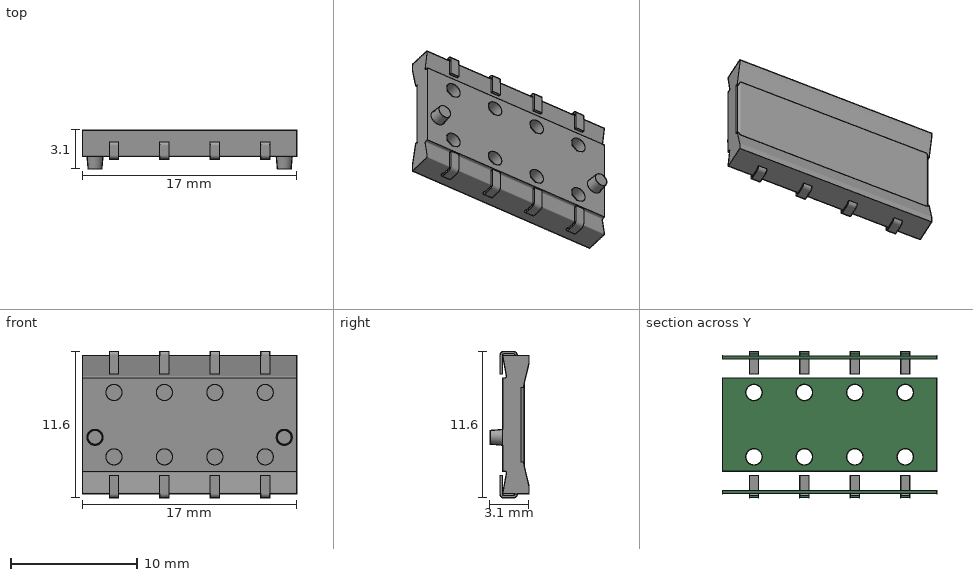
import cadquery as cq


OVERALL_DEPTH = 3.1
OVERALL_HEIGHT = 11.6

BODY_LENGTH = 16.99
BODY_DEPTH = 2.1
BODY_HALF_HEIGHT = 5.49
GROOVE_START = 3.7
GROOVE_DEPTH = 0.32
GROOVE_ROUND = 0.1
FRONT_EDGE_ROUND = 0.08
BACK_TAPER_START = 4.88
RECESS_HALF_HEIGHT = 2.95
RECESS_LIP_Y = 1.65
RECESS_FLOOR_Y = 1.48

PAD_BACK_Y = 1.73
PAD_HALF_HEIGHT = 3.28
PAD_END_INSET = 0.1
PAD_END_ROUND = 0.2

COLUMN_PITCH = 4.0
COLUMN_COUNT = 4
TERMINAL_WIDTH = 0.75
TERMINAL_THICKNESS = 0.2
TERMINAL_BEND_RADIUS = 0.3
TERMINAL_TOP = OVERALL_HEIGHT / 2
TERMINAL_BACK_Y = 1.17
TERMINAL_TIP = 4.01
TERMINAL_EMBED = 0.17
HOLE_DIAMETER = 1.27
HOLE_DEPTH = 1.0
HOLE_OFFSET = 2.55

PIN_LENGTH = OVERALL_DEPTH - BODY_DEPTH
PIN_BASE_DIAMETER = 1.27
PIN_TIP_DIAMETER = 1.1
PIN_OFFSET = 7.5
PIN_Z = -1.0

COLUMNS = [(i - (COLUMN_COUNT - 1) / 2) * COLUMN_PITCH for i in range(COLUMN_COUNT)]


def extrude_along_x(points, length):
    """Prism of a closed (y, z) outline, centred on X = 0."""
    return cq.Workplane("YZ").polyline(points).close().extrude(length / 2, both=True)


def make_body():
    upper_half = [
        (0, GROOVE_START),
        (GROOVE_DEPTH, GROOVE_START),
        (0, BODY_HALF_HEIGHT),
        (BODY_DEPTH, BODY_HALF_HEIGHT),
        (BODY_DEPTH, BACK_TAPER_START),
        (RECESS_LIP_Y, RECESS_HALF_HEIGHT),
        (RECESS_FLOOR_Y, RECESS_HALF_HEIGHT),
    ]
    lower_half = [(y, -z) for y, z in reversed(upper_half)]
    body = extrude_along_x(upper_half + lower_half, BODY_LENGTH)
    for side in (1, -1):
        groove_edge = cq.NearestToPointSelector((0, GROOVE_DEPTH, side * GROOVE_START))
        body = body.edges(groove_edge).fillet(GROOVE_ROUND)
        front_edge = cq.NearestToPointSelector((0, 0, side * BODY_HALF_HEIGHT))
        body = body.edges(front_edge).fillet(FRONT_EDGE_ROUND)
    return body


def make_back_pad():
    pad = cq.Workplane("XY").box(
        BODY_LENGTH - 2 * PAD_END_INSET,
        PAD_BACK_Y - GROOVE_DEPTH,
        2 * PAD_HALF_HEIGHT,
    )
    pad = pad.translate((0, (PAD_BACK_Y + GROOVE_DEPTH) / 2, 0))
    return pad.edges("|Z and >Y").fillet(PAD_END_ROUND)


def make_upper_terminal():
    """Bent strip: hooked into the top of the body, down over its front."""
    front_y = -TERMINAL_THICKNESS
    inner_top = TERMINAL_TOP - TERMINAL_THICKNESS
    hook_front_y = TERMINAL_BACK_Y - TERMINAL_THICKNESS
    hook_end = BODY_HALF_HEIGHT - TERMINAL_EMBED
    strip = extrude_along_x(
        [
            (0, TERMINAL_TIP),
            (front_y, TERMINAL_TIP),
            (front_y, TERMINAL_TOP),
            (TERMINAL_BACK_Y, TERMINAL_TOP),
            (TERMINAL_BACK_Y, hook_end),
            (hook_front_y, hook_end),
            (hook_front_y, inner_top),
            (0, inner_top),
        ],
        TERMINAL_WIDTH,
    )
    strip = strip.faces(">Z").edges("|X").fillet(TERMINAL_BEND_RADIUS)
    for inner_y in (0, hook_front_y):
        inner_corner = cq.NearestToPointSelector((0, inner_y, inner_top))
        strip = strip.edges(inner_corner).fillet(TERMINAL_BEND_RADIUS - TERMINAL_THICKNESS)
    return strip


def make_pin(x):
    front_plane = cq.Workplane("XZ", origin=(x, 0, PIN_Z))
    return (
        front_plane.circle(PIN_BASE_DIAMETER / 2)
        .workplane(offset=PIN_LENGTH)
        .circle(PIN_TIP_DIAMETER / 2)
        .loft(ruled=True)
    )


def make_holes():
    centers = [(x, side * HOLE_OFFSET) for x in COLUMNS for side in (1, -1)]
    return cq.Workplane("XZ").pushPoints(centers).circle(HOLE_DIAMETER / 2).extrude(-HOLE_DEPTH)


result = make_body().union(make_back_pad()).cut(make_holes())

upper_terminal = make_upper_terminal()
lower_terminal = upper_terminal.mirror("XY")
for column_x in COLUMNS:
    result = result.union(upper_terminal.translate((column_x, 0, 0)))
    result = result.union(lower_terminal.translate((column_x, 0, 0)))

for pin_x in (-PIN_OFFSET, PIN_OFFSET):
    result = result.union(make_pin(pin_x))